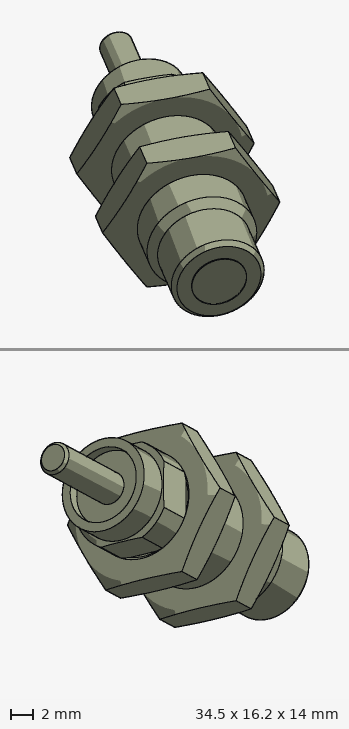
import cadquery as cq
import math

length = 34.5
collar_start = 7.9
wrench_start = 10.7
body_start = 13.97
nut_starts = (body_start, 22.5)
shoulder_start = 28.75
shoulder_end = 29.45
end_face = 34.4

rod_diameter = 3.0
collar_diameter = 8.7
recess_diameter = 7.0
body_diameter = 10
tail_diameter = 8.5
end_disc_diameter = 5.0

wrench_flats = 9.0
wrench_chamfer_diameter = 9.15
wrench_chamfer_length = 0.1
recess_depth = 1.05
rod_chamfer = 0.28
tail_chamfer = 0.4
nut_flats = 14.0
nut_width = 3.0
nut_chamfer_length = 0.3
nut_bore_diameter = 9.42
countersink_depth = (body_diameter - nut_bore_diameter) / 2
barrel_start = body_start + countersink_depth


def cylinder(start, end, diameter):
    """Solid cylinder on the X axis between two stations."""
    return cq.Workplane("YZ").workplane(offset=start).circle(diameter / 2).extrude(end - start)


def revolved(profile):
    """Revolve (station, radius) points about the X axis."""
    points = [(profile[0][0], 0)] + profile + [(profile[-1][0], 0)]
    return cq.Workplane("XY").polyline(points).close().revolve(360, (0, 0, 0), (1, 0, 0))


def hex_nut(start):
    """Hex nut with corners on +Y and -Y, both faces cone-chamfered down to the flats.

    The bore is countersunk at the front.
    """
    corners = nut_flats / math.cos(math.pi / 6)
    end = start + nut_width
    prism = cq.Workplane("YZ").workplane(offset=start).polygon(6, corners).extrude(nut_width)
    envelope = revolved([
        (start, nut_flats / 2),
        (start + nut_chamfer_length, corners / 2),
        (end - nut_chamfer_length, corners / 2),
        (end, nut_flats / 2),
    ])
    bore = cylinder(start, end, nut_bore_diameter)
    countersink = revolved([
        (start, body_diameter / 2),
        (start + countersink_depth, nut_bore_diameter / 2),
    ])
    return prism.intersect(envelope).cut(bore).cut(countersink)


def wrench_section():
    """Round section with four wrench flats and a chamfered front edge."""
    round_bar = revolved([
        (wrench_start, wrench_chamfer_diameter / 2),
        (wrench_start + wrench_chamfer_length, body_diameter / 2),
        (barrel_start, body_diameter / 2),
    ])
    square_bar = (
        cq.Workplane("YZ").workplane(offset=wrench_start)
        .rect(wrench_flats, wrench_flats).extrude(barrel_start - wrench_start)
    )
    return round_bar.intersect(square_bar)


collar = cylinder(collar_start, wrench_start, collar_diameter)
collar = collar.cut(cylinder(collar_start, collar_start + recess_depth, recess_diameter))

rod = cylinder(0, wrench_start, rod_diameter).faces("<X").chamfer(rod_chamfer)

barrel = revolved([
    (barrel_start, body_diameter / 2),
    (shoulder_start, body_diameter / 2),
    (shoulder_end, tail_diameter / 2),
    (end_face - tail_chamfer, tail_diameter / 2),
    (end_face, tail_diameter / 2 - tail_chamfer),
])

end_disc = cylinder(end_face, length, end_disc_diameter)

result = collar.union(rod).union(wrench_section()).union(barrel).union(end_disc)
for nut_start in nut_starts:
    result = result.union(hex_nut(nut_start))